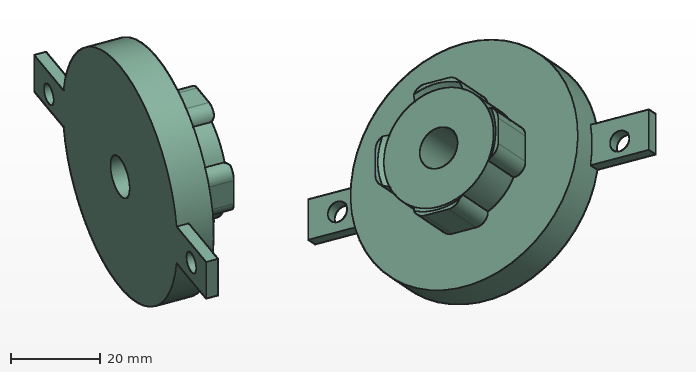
import cadquery as cq
import math

disc_diameter = 60.0
disc_thickness = 9.0
bore_diameter = 10.0

span = 90.0
tab_thickness = 3.0
tab_width = 10.0
tab_hole_diameter = 5.0
tab_hole_x = 37.3
left_hole_drop = 0.9

hub_height = 11.5
hub_width = 32.4
arm_width = 12.6
arm_corner_radius = 3.15
core_radius = math.hypot(hub_width / 2 - arm_corner_radius, arm_width / 2)

dish_depth = 0.8
dish_top_radius = 15.6

hub_end = disc_thickness + hub_height


def cylinder(diameter, start, length, x=0, z=0):
    """Cylinder along +Y that begins at Y = start."""
    axis_point = cq.Vector(x, start, z)
    return cq.Workplane(cq.Solid.makeCylinder(diameter / 2, length, axis_point, cq.Vector(0, 1, 0)))


def block(width, height, start, length):
    """Block centred on the Y axis that begins at Y = start."""
    return cq.Workplane("XY").box(width, length, height).translate((0, start + length / 2, 0))


def make_hub():
    hub = cylinder(2 * core_radius, disc_thickness, hub_height)
    for width, height in ((hub_width, arm_width), (arm_width, hub_width)):
        arm_pair = block(width, height, disc_thickness, hub_height)
        hub = hub.union(arm_pair.edges("|Y").fillet(arm_corner_radius))
    dish = cq.Solid.makeCone(
        core_radius,
        dish_top_radius,
        dish_depth,
        cq.Vector(0, hub_end - dish_depth, 0),
        cq.Vector(0, 1, 0),
    )
    return hub.cut(cq.Workplane(dish))


disc = cylinder(disc_diameter, 0, disc_thickness)
tabs = block(span, tab_width, 0, tab_thickness)
result = disc.union(tabs).union(make_hub())

result = result.cut(cylinder(bore_diameter, 0, hub_end))
for hole_x, hole_z in ((-tab_hole_x, -left_hole_drop), (tab_hole_x, 0)):
    result = result.cut(cylinder(tab_hole_diameter, 0, tab_thickness, hole_x, hole_z))